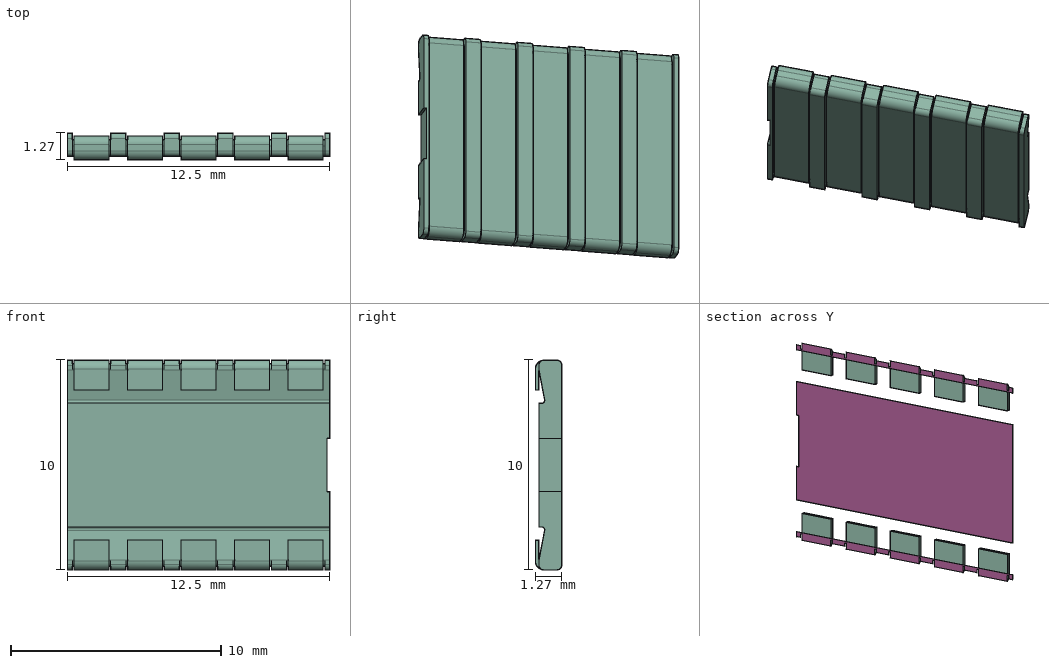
import cadquery as cq

length = 12.5
height = 10.0
plate_thickness = 1.1
pin_thickness = 0.17

back_edge_radius = 0.25
front_edge_radius = 0.26
front_land_height = 0.47
undercut_height = 2.05
undercut_depth = 0.30
undercut_radius = 0.13

notch_depth = 0.125
notch_height = 2.54

pin_count = 5
pin_pitch = 2.55
pin_width = 1.67
groove_width = 1.82
groove_depth = 0.30
groove_corner_radius = 0.31
pin_back_radius = 0.40
pin_front_radius = front_edge_radius + pin_thickness
pad_height = 1.43

depth = plate_thickness + pin_thickness
back_y = depth / 2
front_y = back_y - plate_thickness
pad_y = front_y - pin_thickness
groove_y = back_y - groove_depth
pin_back_y = groove_y + pin_thickness

half_height = height / 2
pin_positions = [(i - (pin_count - 1) / 2) * pin_pitch for i in range(pin_count)]


def block(width, y_min, y_max, z_span, x_center=0.0):
    """Box centred on Z = 0 between two Y stations."""
    box = cq.Workplane("XY").box(width, y_max - y_min, z_span)
    return box.translate((x_center, (y_min + y_max) / 2, 0))


def rounded_block(width, y_min, y_max, z_span, front_radius, back_radius):
    """Block whose long front and back edges are rounded."""
    body = block(width, y_min, y_max, z_span)
    body = body.faces("<Y").edges("|X").fillet(front_radius)
    return body.faces(">Y").edges("|X").fillet(back_radius)


def undercut():
    """Wedge behind the upper contact pads, with a rounded inner corner."""
    ledge_z = half_height - undercut_height
    slope_z = half_height - front_land_height
    wedge = (
        cq.Workplane("YZ")
        .polyline([
            (front_y, slope_z),
            (front_y + undercut_depth, ledge_z),
            (front_y, ledge_z),
        ])
        .close()
        .extrude(length / 2, both=True)
    )
    return wedge.edges("|X and >Y").fillet(undercut_radius)


def groove_core(width):
    """Plate section left inside a groove, which the pin is wrapped around."""
    core_height = height - 2 * pin_thickness
    return rounded_block(width, front_y, groove_y, core_height, front_edge_radius, groove_corner_radius)


def groove():
    """Channel down the back face and over the top and bottom edges."""
    return block(groove_width, front_y, back_y, height).cut(groove_core(groove_width))


def pin():
    """Strip down the back, folded over both edges into front contact pads."""
    strip = rounded_block(pin_width, pad_y, pin_back_y, height, pin_front_radius, pin_back_radius)
    pad_gap = block(pin_width, pad_y, front_y, height - 2 * pad_height)
    return strip.cut(groove_core(pin_width)).cut(pad_gap)


def carrier_plate():
    plate = rounded_block(length, front_y, back_y, height, front_edge_radius, back_edge_radius)
    upper_undercut = undercut()
    plate = plate.cut(upper_undercut).cut(upper_undercut.mirror("XY"))
    notch = block(notch_depth, front_y, back_y, notch_height, (length - notch_depth) / 2)
    return plate.cut(notch)


result = carrier_plate()
for x in pin_positions:
    result = result.cut(groove().translate((x, 0, 0)))
for x in pin_positions:
    result = result.union(pin().translate((x, 0, 0)))